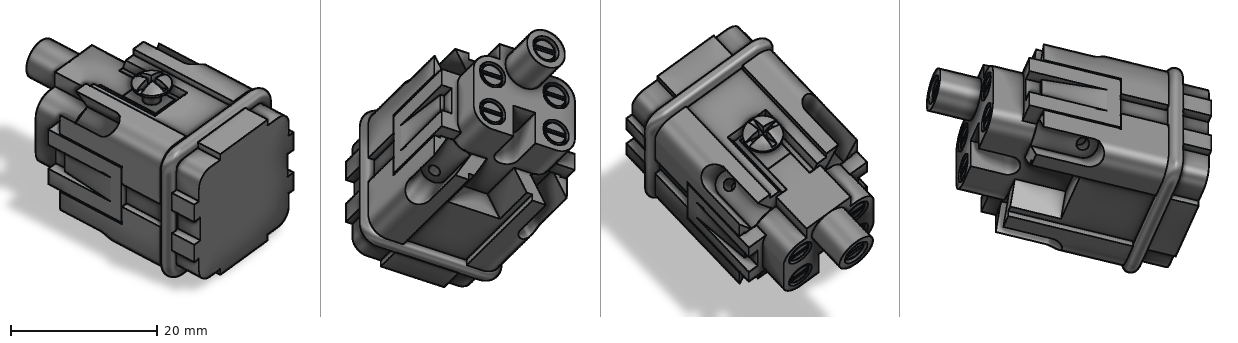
import cadquery as cq
import math


length = 36.5
block_front = 5.9
latch_front = 10.33
housing_front = 12.4
recess_end = 23.45
housing_end = 30.35
seal_x = 31.5
key_front = 32.45

housing_width = 21.0
housing_half = housing_width / 2
housing_corner = 3.0
core_half = 9.5
core_corner = 2.35
strip_half = 5.0
side_groove_half = 1.97
key_gap_half = 9.2
key_root = core_half - 0.35
seal_radius = 1.05
seal_outer_width = 22.1
seal_outer_half = seal_outer_width / 2
seal_corner = 1.97
draft_angle = 30.0

block_half_width = 8.0
block_half_height = 6.02
block_corner = 3.03
tab_half_width = 3.9
tab_top = 8.55
tongue_half_width = 2.05
tongue_end = 16.45
earth_radius = 3.0
earth_z = 5.55
notch_width = 3.45
notch_half_width = notch_width / 2
notch_top = -0.95

terminal_y = 5.0
terminal_z = 3.05
terminal_hole_radius = 2.0
terminal_head_radius = 1.8
terminal_bevel = 0.22
terminal_depth = 0.35
head_gap_depth = 1.1
terminal_slot_width = 0.55
earth_depth = 0.55
earth_slot_width = 0.7
driver_slot_depth = 0.45

wire_tilt = math.radians(60)
wire_radius = 1.97
wire_offset = 2.92
wire_floor = 7.85
wire_end = 19.5
wire_hole_radius = 0.88
wire_hole_depth = 2.92
wire_hole_x = 19.35

recess_half_width = 3.4
recess_floor = 8.45
plate_top = 8.6
plate_end = 22.4
bottom_recess_half = 4.12
bottom_recess_depth = 7.3

latch_half_height = 4.75
latch_clearance = 0.25
pocket_end = recess_end + 0.1
latch_inner = 7.4
window_half = 2.08
window_end = wire_end + wire_radius
window_seat = 8.9

screw_x = 19.95
screw_tip = 12.3
screw_rim_diameter = 5.6
screw_rim_radius = screw_rim_diameter / 2
screw_rim_bottom = 11.05
screw_rim_top = 11.42
screw_shank_radius = 1.28
screw_shank_top = 10.15
cross_width = 0.8
cross_bottom = 10.4
cross_ledge = 11.25
cross_ledge_start = 1.82
cross_reach = 2.52
cross_rim = 11.57


def box(x, y, z):
    """Box spanning the (low, high) pairs x, y and z."""
    size = (x[1] - x[0], y[1] - y[0], z[1] - z[0])
    return cq.Workplane("XY").box(*size, centered=False).translate((x[0], y[0], z[0]))


def rounded_bar(x, half_width, half_height, radius):
    """Bar along X with a rounded rectangular section."""
    bar = box(x, (-half_width, half_width), (-half_height, half_height))
    return bar.edges("|X").fillet(radius)


def cylinder_x(x, radius, y, z):
    """Cylinder along X between the two stations in x."""
    return cq.Workplane("YZ", origin=(x[0], 0, 0)).center(y, z).circle(radius).extrude(x[1] - x[0])


def with_mirror(shape, plane):
    """The shape together with its mirror image."""
    return shape.union(shape.mirror(plane))


def housing():
    """Rounded square housing with wide grooves above and below and narrow ones on both sides."""
    body = rounded_bar((housing_front, housing_end), housing_half, housing_half, housing_corner)
    groove_x = (housing_front, housing_end)
    outside = (core_half, housing_half)
    body = body.cut(with_mirror(box(groove_x, (-strip_half, strip_half), outside), "XY"))
    body = body.cut(with_mirror(box(groove_x, outside, (-side_groove_half, side_groove_half)), "XZ"))
    return body


def mating_collar():
    """Smaller collar behind the seal with raised coding keys on all four sides."""
    collar = rounded_bar((housing_end, length), core_half, core_half, core_corner)
    key_x = (key_front, length)
    key_reach = (key_root, housing_half)
    collar = collar.union(with_mirror(box(key_x, (-strip_half, strip_half), key_reach), "XY"))
    gap_z = (-side_groove_half, side_groove_half)
    collar = collar.cut(with_mirror(box(key_x, (key_gap_half, core_half), gap_z), "XZ"))
    side_key = with_mirror(box(key_x, key_reach, (side_groove_half, strip_half)), "XY")
    return collar.union(with_mirror(side_key, "XZ"))


def seal_ring():
    """Round-section ring swept along a rounded square, starting at the middle of the top side."""
    half = seal_outer_half - seal_radius
    straight = half - seal_corner
    path = (
        cq.Workplane("YZ", origin=(seal_x, 0, 0))
        .moveTo(0, half)
        .lineTo(straight, half)
        .tangentArcPoint((seal_corner, -seal_corner))
        .lineTo(half, -straight)
        .tangentArcPoint((-seal_corner, -seal_corner))
        .lineTo(-straight, -half)
        .tangentArcPoint((-seal_corner, seal_corner))
        .lineTo(-half, straight)
        .tangentArcPoint((seal_corner, seal_corner))
        .close()
    )
    section = cq.Workplane("XZ", origin=(seal_x, 0, half)).circle(seal_radius)
    return section.sweep(path)


def contact_block():
    """Rounded block with a raised tab and the longer earth contact barrel."""
    block = rounded_bar((block_front, housing_front), block_half_width, block_half_height, block_corner)
    tab_y = (-tab_half_width, tab_half_width)
    block = block.union(box((block_front, housing_front), tab_y, (0, tab_top)))
    return block.union(cylinder_x((0, housing_front), earth_radius, 0, earth_z))


def terminal_screw(front, y, z, depth, slot_width):
    """Cut tool for the sunk terminal screw: a hole that leaves a slotted, bevelled head standing."""
    hole = cylinder_x((front, front + head_gap_depth), terminal_hole_radius, y, z)
    head_front = front + depth - terminal_bevel
    head = cylinder_x((head_front, front + head_gap_depth), terminal_head_radius, y, z)
    head = head.faces("<X").chamfer(terminal_bevel)
    slot_y = (y - terminal_head_radius, y + terminal_head_radius)
    slot_z = (z - slot_width / 2, z + slot_width / 2)
    head = head.cut(box((head_front, head_front + driver_slot_depth), slot_y, slot_z))
    return hole.cut(head)


def wire_notch():
    """Upright round-ended notch in the underside of the contact block."""
    notch_end = housing_front - notch_half_width
    z = (-block_half_height, notch_top)
    notch = box((block_front, notch_end), (-notch_half_width, notch_half_width), z)
    end = cq.Workplane("XY", origin=(notch_end, 0, z[0])).circle(notch_half_width).extrude(z[1] - z[0])
    return notch.union(end)


def wire_slot():
    """Inclined round-ended slot at the +Y, +Z corner with a screw hole in its floor."""
    direction = cq.Vector(0, math.cos(wire_tilt), math.sin(wire_tilt))
    across = cq.Vector(0, math.sin(wire_tilt), -math.cos(wire_tilt))
    origin = across * wire_offset + direction * wire_floor + cq.Vector(wire_end, 0, 0)
    floor = cq.Workplane(cq.Plane(origin=origin, xDir=(1, 0, 0), normal=direction))
    straight = wire_end - housing_front
    slot = floor.center(-straight / 2, 0).rect(straight, 2 * wire_radius).extrude(housing_half)
    slot = slot.union(floor.circle(wire_radius).extrude(housing_half))
    hole = floor.center(wire_hole_x - wire_end, 0).circle(wire_hole_radius).extrude(-wire_hole_depth)
    return slot.union(hole)


def top_recess():
    """Pocket in the top strip with sloping sides and end, open towards the wiring end."""
    depth = core_half - recess_floor
    mouth = cq.Workplane("XY", origin=(housing_front, 0, core_half))
    reach = recess_end - housing_front
    pocket = mouth.rect(2 * reach, 2 * recess_half_width).extrude(-depth, taper=draft_angle)
    return pocket.intersect(box((housing_front, length), (-strip_half, strip_half), (0, core_half)))


def bottom_recess():
    """Flared pocket below the contact block, open towards the wiring end."""
    depth = core_half - block_half_height
    narrow_half = bottom_recess_half - depth * math.tan(math.radians(draft_angle))
    outline = [
        (-bottom_recess_half, -core_half),
        (bottom_recess_half, -core_half),
        (narrow_half, -block_half_height),
        (-narrow_half, -block_half_height),
    ]
    section = cq.Workplane("YZ", origin=(housing_front, 0, 0)).polyline(outline).close()
    return section.extrude(bottom_recess_depth)


def latch_pocket():
    """Shallow pocket around the latch on the +Y side."""
    half = latch_half_height + latch_clearance
    return box((housing_front, pocket_end), (core_half, housing_half), (-half, half))


def latch():
    """Latch plate on the +Y side; its window has a ramp that rises to the outer face."""
    plate_z = (-latch_half_height, latch_half_height)
    plate = box((latch_front, recess_end), (latch_inner, housing_half), plate_z)
    window = [
        (latch_front, housing_half),
        (latch_front, window_seat),
        (housing_front, window_seat),
        (housing_front, core_half),
        (window_end, housing_half),
    ]
    cutter = cq.Workplane("XY", origin=(0, 0, -window_half)).polyline(window).close().extrude(2 * window_half)
    return plate.cut(cutter)


def fixing_screw():
    """Raised countersunk screw with a cross recess that deepens towards the middle."""
    dome_sag = screw_tip - screw_rim_top
    dome_radius = (screw_rim_radius**2 + dome_sag**2) / (2 * dome_sag)
    mid_radius = screw_rim_radius / 2
    mid_height = screw_tip - dome_radius + math.sqrt(dome_radius**2 - mid_radius**2)
    screw = (
        cq.Workplane("XZ")
        .moveTo(0, recess_floor)
        .lineTo(screw_shank_radius, recess_floor)
        .lineTo(screw_shank_radius, screw_shank_top)
        .lineTo(screw_rim_radius, screw_rim_bottom)
        .lineTo(screw_rim_radius, screw_rim_top)
        .threePointArc((mid_radius, mid_height), (0, screw_tip))
        .close()
        .revolve(360, (0, 0, 0), (0, 1, 0))
    )
    half = cross_width / 2
    slot_along_x = [
        (-half, cross_bottom),
        (half, cross_bottom),
        (cross_reach, cross_rim),
        (cross_reach, screw_tip),
        (-cross_reach, screw_tip),
        (-cross_reach, cross_rim),
    ]
    slot_along_y = [
        (-half, cross_bottom),
        (half, cross_bottom),
        (cross_ledge_start, cross_ledge),
        (screw_rim_radius, cross_ledge),
        (screw_rim_radius, screw_tip),
        (-screw_rim_radius, screw_tip),
        (-screw_rim_radius, cross_ledge),
        (-cross_ledge_start, cross_ledge),
    ]
    for plane, outline in (("XZ", slot_along_x), ("YZ", slot_along_y)):
        screw = screw.cut(cq.Workplane(plane).polyline(outline).close().extrude(half, both=True))
    return screw.translate((screw_x, 0, 0))


result = housing().union(contact_block()).union(mating_collar())
result = result.cut(wire_notch()).cut(bottom_recess()).cut(top_recess())
result = result.cut(with_mirror(latch_pocket(), "XZ")).union(with_mirror(latch(), "XZ"))
result = result.cut(with_mirror(with_mirror(wire_slot(), "XZ"), "XY"))

tongue_y = (-tongue_half_width, tongue_half_width)
result = result.union(box((block_front, tongue_end), tongue_y, (0, tab_top)))
result = result.union(box((tongue_end, plate_end), tongue_y, (0, plate_top)))
result = result.union(fixing_screw()).union(seal_ring())

result = result.cut(terminal_screw(0, 0, earth_z, earth_depth, earth_slot_width))
for y in (-terminal_y, terminal_y):
    for z in (-terminal_z, terminal_z):
        terminal = terminal_screw(block_front, y, z, terminal_depth, terminal_slot_width)
        result = result.cut(terminal)